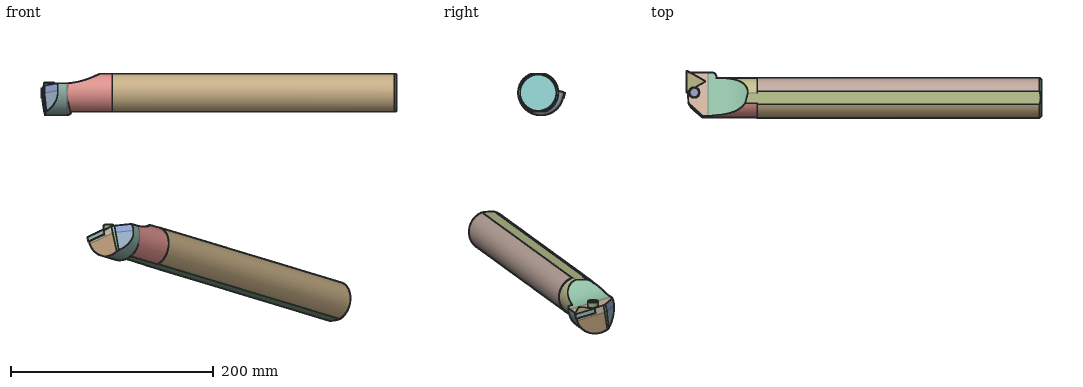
import cadquery as cq
import math

total_length = 350.0
shank_radius = 20.0
neck_radius = 19.5
neck_end = 70.0
flat_height = 19.0
end_chamfer = 2.0

head_radius = 22.5
head_offset = head_radius - neck_radius
head_length = 29.7
head_round = 5.0

rake_tilt = 12.0
rake_height = 5.5
flute_flat_end = 21.0
flute_radius = 63.0
flute_sweep = math.radians(65)

front_corners = [(0.7, 28.0), (1.7, -3.5), (3.0, -6.3), (18.5, -20.5)]
land_depth = 7.0
relief_angle = 7.0

insert_side = 22.0
insert_thickness = 5.0
insert_nose_radius = 0.7
insert_tip_y = 27.5
clamp_x = 7.7
clamp_y = 5.2
clamp_radius = 5.2
clamp_top = 10.0
clamp_base = 2.8
clamp_chamfer = 0.7

clearance = 105.0


def place_on_rake(shape):
    """Move a shape modelled on Z = 0 onto the tilted rake plane."""
    return shape.rotate((0, 0, 0), (1, 0, 0), -rake_tilt).translate((0, 0, rake_height))


def make_bar():
    """Round shank and slimmer neck with flats along the top and bottom."""
    shank_length = total_length - neck_end
    shank = cq.Workplane("YZ", origin=(neck_end, 0, 0)).circle(shank_radius).extrude(shank_length)
    shank = shank.faces(">X").chamfer(end_chamfer)
    neck = cq.Workplane("YZ").circle(neck_radius).extrude(neck_end)
    between_flats = cq.Workplane("XY").box(2 * total_length, clearance, 2 * flat_height)
    return shank.union(neck).intersect(between_flats)


def make_head():
    """Offset round head with a rounded rear edge."""
    head = cq.Workplane("YZ", origin=(0, head_offset, 0)).circle(head_radius).extrude(head_length)
    return head.faces(">X").edges().fillet(head_round)


def make_front_envelope():
    """Space behind the front faces: a straight land, then relieved walls below it."""
    outline = front_corners + [
        (front_corners[-1][0] + clearance, front_corners[-1][1] - clearance),
        (total_length + clearance, front_corners[-1][1] - clearance),
        (total_length + clearance, clearance),
        (front_corners[0][0], clearance),
    ]
    land = cq.Workplane("XY", origin=(0, 0, -land_depth)).polyline(outline).close()
    land = land.extrude(land_depth + clearance)
    relief = cq.Workplane("XY", origin=(0, 0, -land_depth)).polyline(outline).close()
    relief = relief.extrude(-clearance, taper=relief_angle)
    return place_on_rake(land.union(relief))


def make_flute():
    """Material removed above the rake face, running out in an arc."""
    def arc_point(angle):
        return (flute_flat_end + flute_radius * math.sin(angle), flute_radius * (1 - math.cos(angle)))

    arc_end = arc_point(flute_sweep)
    profile = (
        cq.Workplane("XZ")
        .moveTo(-clearance, 0)
        .lineTo(flute_flat_end, 0)
        .threePointArc(arc_point(flute_sweep / 2), arc_end)
        .lineTo(-clearance, arc_end[1])
        .close()
    )
    return place_on_rake(profile.extrude(clearance, both=True))


def make_insert():
    """Equilateral insert lying flush in the rake face, one edge along the front."""
    corners = [
        (0, insert_tip_y),
        (insert_side * math.sin(math.radians(60)), insert_tip_y - insert_side / 2),
        (0, insert_tip_y - insert_side),
    ]
    insert = cq.Workplane("XY").polyline(corners).close().extrude(-insert_thickness)
    return place_on_rake(insert.edges("|Z").fillet(insert_nose_radius))


def make_clamp_head():
    """Upright round clamp head above the rake face, overhanging the insert edge."""
    clamp = cq.Workplane("XY", origin=(clamp_x, clamp_y, clamp_base)).circle(clamp_radius)
    clamp = clamp.extrude(clamp_top - clamp_base)
    return clamp.faces(">Z").chamfer(clamp_chamfer)


def make_holder(insert):
    """Bar and head, cut by the front faces, the flute and the insert pocket."""
    body = make_bar().union(make_head())
    body = body.intersect(make_front_envelope()).cut(make_flute())
    return body.union(make_clamp_head()).cut(insert)


insert = make_insert()
holder = make_holder(insert)
result = cq.Compound.makeCompound([holder.val(), insert.val()])